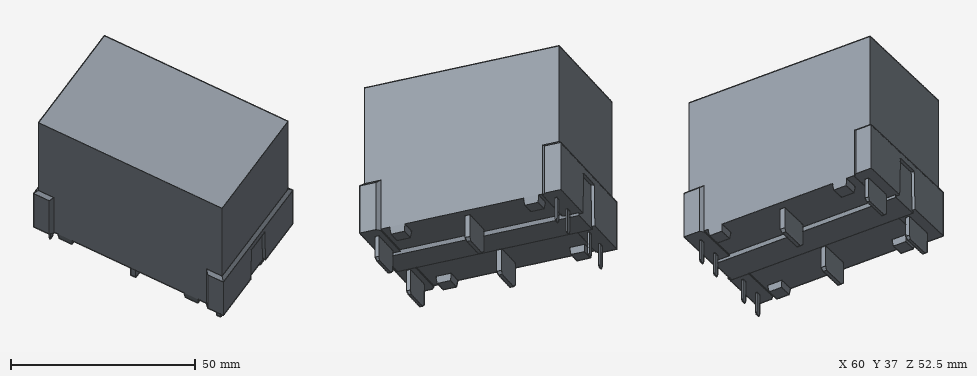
import cadquery as cq
import math


LENGTH = 60.0
WIDTH = 37.0
TOP_Z = 45.3
TERMINAL_TIP_Z = -7.2

CASE_LENGTH = 58.1
GUARD_THICKNESS = (LENGTH - CASE_LENGTH) / 2
GUARD_HEIGHT = 15.6
GUARD_REACH = 5.9
CASE_BOTTOM_Z = 0.4
CASE_WIDTH = WIDTH - 2 * GUARD_THICKNESS

NOTCH_BOTTOM_WIDTH = 7.85
NOTCH_TOP_WIDTH = 7.0
NOTCH_HEIGHT = 12.55

RIB_BOTTOM_Z = -0.7
RIB_WIDTH = 9.6
RIB_DRAFT = 22.0

FOOT_XS = (-20.65, 19.2)
FOOT_SIZE = 4.55
FOOT_BOTTOM_Z = -1.7
FOOT_DRAFT = 8.0
FOOT_Y = (CASE_WIDTH - FOOT_SIZE) / 2

TIP_HEIGHT = 0.85
PIN_X = -26.95
PIN_YS = (7.2, 14.35)
PIN_THICKNESS = 0.55
PIN_WIDTH = 1.45
PIN_TIP_INSET = 0.15
BLADE_INNER_Y = 5.8
BLADE_OUTER_Y = 15.05
BLADE_TIP_INSET_Y = TIP_HEIGHT
BLADE_TIP_INSET_X = 0.21
CENTER_BLADE_X = -0.6
CENTER_BLADE_THICKNESS = 1.5
END_BLADE_X = 26.4
END_BLADE_THICKNESS = 1.2


def make_case():
    return (
        cq.Workplane("XY", origin=(0, 0, CASE_BOTTOM_Z))
        .rect(CASE_LENGTH, CASE_WIDTH)
        .extrude(TOP_Z - CASE_BOTTOM_Z)
    )


def make_left_guard():
    """Block wrapping the -X end of the case, bevelled back onto the case walls."""
    return (
        cq.Workplane("XY", origin=((GUARD_REACH - LENGTH) / 2, 0, 0))
        .rect(GUARD_REACH, WIDTH)
        .extrude(GUARD_HEIGHT)
        .edges("(>Z and (<X or <Y or >Y)) or (|Z and >X)")
        .chamfer(GUARD_THICKNESS)
    )


def make_left_notch():
    """Trapezoid cut through the guard down to the end wall of the case."""
    return (
        cq.Workplane("YZ", origin=(-LENGTH / 2, 0, 0))
        .polyline(
            [
                (-NOTCH_BOTTOM_WIDTH / 2, 0),
                (NOTCH_BOTTOM_WIDTH / 2, 0),
                (NOTCH_TOP_WIDTH / 2, NOTCH_HEIGHT),
                (-NOTCH_TOP_WIDTH / 2, NOTCH_HEIGHT),
            ]
        )
        .close()
        .extrude(GUARD_THICKNESS)
    )


def make_rib():
    """Drafted rib along X, running the full length of the case."""
    height = CASE_BOTTOM_Z - RIB_BOTTOM_Z
    bottom_width = RIB_WIDTH - 2 * height * math.tan(math.radians(RIB_DRAFT))
    return (
        cq.Workplane("YZ", origin=(-CASE_LENGTH / 2, 0, 0))
        .polyline(
            [
                (-RIB_WIDTH / 2, CASE_BOTTOM_Z),
                (RIB_WIDTH / 2, CASE_BOTTOM_Z),
                (bottom_width / 2, RIB_BOTTOM_Z),
                (-bottom_width / 2, RIB_BOTTOM_Z),
            ]
        )
        .close()
        .extrude(CASE_LENGTH)
    )


def make_feet():
    positions = [(x, side * FOOT_Y) for x in FOOT_XS for side in (-1, 1)]
    return (
        cq.Workplane("XY", origin=(0, 0, CASE_BOTTOM_Z))
        .pushPoints(positions)
        .rect(FOOT_SIZE, FOOT_SIZE)
        .extrude(FOOT_BOTTOM_Z - CASE_BOTTOM_Z, taper=FOOT_DRAFT)
    )


def make_terminal(x, y, thickness, width, inset_x, inset_y):
    """Rectangular terminal below the case, with a tip tapering in X and Y."""
    shoulder_z = TERMINAL_TIP_Z + TIP_HEIGHT
    shank = (
        cq.Workplane("XY", origin=(x, y, shoulder_z))
        .rect(thickness, width)
        .extrude(CASE_BOTTOM_Z - shoulder_z)
    )
    tip = (
        cq.Workplane("XY", origin=(x, y, shoulder_z))
        .rect(thickness, width)
        .workplane(offset=-TIP_HEIGHT)
        .rect(thickness - 2 * inset_x, width - 2 * inset_y)
        .loft(ruled=True)
    )
    return shank.union(tip)


def make_pin(y):
    return make_terminal(PIN_X, y, PIN_THICKNESS, PIN_WIDTH, PIN_TIP_INSET, PIN_TIP_INSET)


def make_blade(x, thickness, side):
    y = side * (BLADE_INNER_Y + BLADE_OUTER_Y) / 2
    width = BLADE_OUTER_Y - BLADE_INNER_Y
    return make_terminal(x, y, thickness, width, BLADE_TIP_INSET_X, BLADE_TIP_INSET_Y)


notched_guard = make_left_guard().cut(make_left_notch())
result = make_case().union(make_rib()).union(make_feet())
result = result.union(notched_guard).union(notched_guard.mirror("YZ"))

for side in (-1, 1):
    for pin_y in PIN_YS:
        result = result.union(make_pin(side * pin_y))
    result = result.union(make_blade(CENTER_BLADE_X, CENTER_BLADE_THICKNESS, side))
    result = result.union(make_blade(END_BLADE_X, END_BLADE_THICKNESS, side))